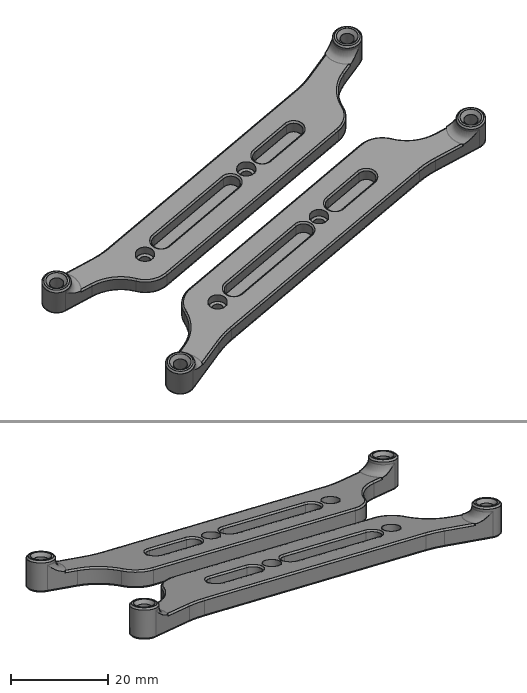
import cadquery as cq
import math

total_length = 96.6
total_width = 40.1
total_height = 7.0
plate_thickness = 4.0
gap_between_rails = 6.0
edge_chamfer = 0.4
chamfer_angle = 45

boss_diameter = 6.1
boss_hole_diameter = 2.9
countersink_depth = 0.8
countersink_angle = 90
boss_fillet_radius = 2.0

arm_angle = math.radians(12.8)
arm_straight_length = 6.9
outer_bend_radius = 20.0
inner_bend_radius = 10.0
corner_radius = 6.0

screw_hole_diameter = 2.4
counterbore_diameter = 4.0
counterbore_depth = 2.0
screw_hole_places = [5.9, -25.7]
slot_width = 4.0
slot_depth = 3.0
slot_direction = 90
slot_spans = [(8.9, 22.6), (-22.6, 3.0)]

boss_radius = boss_diameter / 2
boss_x = boss_radius - total_width / 2
boss_y = total_length / 2 - boss_radius
inner_side_x = -gap_between_rails / 2
outer_side_x = boss_x
boss_places = [(boss_x, boss_y), (boss_x, -boss_y)]
middle_x = (outer_side_x + inner_side_x) / 2


def polar(center, radius, angle):
    """Point at a distance and an angle (from +X) around a center."""
    return (center[0] + radius * math.cos(angle), center[1] + radius * math.sin(angle))


def flip(point):
    """Mirror image of a point across the X axis."""
    return (point[0], -point[1])


def plate_outline():
    """Closed outline of one rail, symmetric about the X axis."""
    boss = (boss_x, boss_y)

    corner_y = boss_y - boss_radius / math.sin(arm_angle)
    bend_y = corner_y - outer_bend_radius * math.tan(arm_angle / 2)
    outer_center = (outer_side_x - outer_bend_radius, bend_y)
    outer_start = (outer_side_x, bend_y)
    outer_middle = polar(outer_center, outer_bend_radius, arm_angle / 2)
    outer_end = polar(outer_center, outer_bend_radius, arm_angle)
    boss_outer = polar(boss, boss_radius, arm_angle + math.pi)
    boss_tip = (boss_x, total_length / 2)
    boss_inner = polar(boss, boss_radius, arm_angle)

    hollow_start = polar(boss_inner, arm_straight_length, arm_angle - math.pi / 2)
    hollow_center = polar(hollow_start, inner_bend_radius, arm_angle)
    corner_x = inner_side_x - corner_radius
    rise = math.sqrt((inner_bend_radius + corner_radius) ** 2 - (hollow_center[0] - corner_x) ** 2)
    corner_center = (corner_x, hollow_center[1] - rise)
    joint_angle = math.atan2(rise, hollow_center[0] - corner_x)
    hollow_middle = polar(hollow_center, inner_bend_radius, math.pi + (arm_angle + joint_angle) / 2)
    joint = polar(corner_center, corner_radius, joint_angle)
    corner_middle = polar(corner_center, corner_radius, joint_angle / 2)
    corner_end = (inner_side_x, corner_center[1])

    return (
        cq.Workplane("XY")
        .moveTo(*outer_start)
        .threePointArc(outer_middle, outer_end)
        .lineTo(*boss_outer)
        .threePointArc(boss_tip, boss_inner)
        .lineTo(*hollow_start)
        .threePointArc(hollow_middle, joint)
        .threePointArc(corner_middle, corner_end)
        .lineTo(*flip(corner_end))
        .threePointArc(flip(corner_middle), flip(joint))
        .threePointArc(flip(hollow_middle), flip(hollow_start))
        .lineTo(*flip(boss_inner))
        .threePointArc(flip(boss_tip), flip(boss_outer))
        .lineTo(*flip(outer_end))
        .threePointArc(flip(outer_middle), flip(outer_start))
        .close()
    )


def clearance_above_plate():
    """Space to remove above the plate, on the plate's side of the +Y boss.

    A half turn about the boss axis that leaves the boss wall and a hollow flare at its foot.
    """
    flare_radius = boss_radius + boss_fillet_radius
    flare_top = plate_thickness + boss_fillet_radius
    down_and_inward = math.radians(225)
    flare_middle = polar((flare_radius, flare_top), boss_fillet_radius, down_and_inward)
    reach = total_length / 2
    return (
        cq.Workplane("XZ")
        .moveTo(boss_radius, total_height)
        .lineTo(boss_radius, flare_top)
        .threePointArc(flare_middle, (flare_radius, plate_thickness))
        .lineTo(reach, plate_thickness)
        .lineTo(reach, total_height)
        .close()
        .revolve(180, (0, 0, 0), (0, -1, 0))
        .rotate((0, 0, 0), (0, 0, 1), math.degrees(arm_angle))
        .translate((boss_x, boss_y, 0))
    )


def rim_chamfer_cutter():
    """Strip that chamfers the top rim of the plate, between the flares at its two ends."""
    slab = plate_outline().extrude(plate_thickness)
    strip = slab.cut(slab.faces(">Z").chamfer(edge_chamfer))
    flares = (
        cq.Workplane("XY")
        .pushPoints(boss_places)
        .circle(boss_radius + boss_fillet_radius)
        .extrude(total_height)
    )
    return strip.cut(flares)


def slot_cutter(y_low, y_high):
    """Blind round-ended slot with a chamfered rim."""
    center = (middle_x, (y_low + y_high) / 2, plate_thickness)
    length = y_high - y_low
    slot = cq.Workplane("XY", origin=center).slot2D(length, slot_width, slot_direction).extrude(-slot_depth)
    rim = (
        cq.Workplane("XY", origin=center)
        .slot2D(length + 2 * edge_chamfer, slot_width + 2 * edge_chamfer, slot_direction)
        .extrude(-edge_chamfer, taper=chamfer_angle)
    )
    return slot.union(rim)


def make_rail():
    """Rail on the -X side."""
    clearance = clearance_above_plate()
    rail = plate_outline().extrude(total_height)
    rail = rail.cut(clearance).cut(clearance.mirror("XZ"))

    rail = rail.faces("<Z or >Z").chamfer(edge_chamfer)
    rail = rail.cut(rim_chamfer_cutter())

    rail = (
        rail.copyWorkplane(cq.Workplane("XY", origin=(0, 0, total_height)))
        .pushPoints(boss_places)
        .cskHole(boss_hole_diameter, boss_hole_diameter + 2 * countersink_depth, countersink_angle)
    )

    rail = (
        rail.copyWorkplane(cq.Workplane("XY", origin=(0, 0, plate_thickness)))
        .pushPoints([(middle_x, y) for y in screw_hole_places])
        .cboreHole(screw_hole_diameter, counterbore_diameter, counterbore_depth)
    )

    for y_low, y_high in slot_spans:
        rail = rail.cut(slot_cutter(y_low, y_high))
    return rail


left_rail = make_rail()
right_rail = left_rail.mirror("YZ")

result = cq.Compound.makeCompound([left_rail.val(), right_rail.val()])